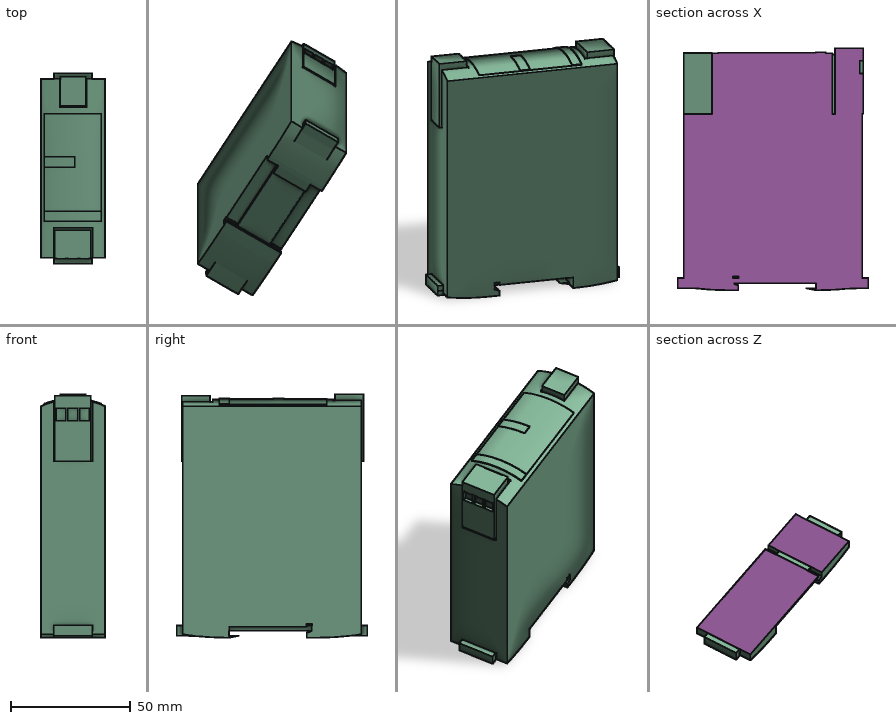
import cadquery as cq
import math

width = 27.0
length = 75.0
height = 102.25
half_width = width / 2
half_length = length / 2

shoulder_z = 97.15
crown_z = 100.05
crown_rise = crown_z - shoulder_z
crown_base_z = shoulder_z / 2
crown_radius = (half_width ** 2 + crown_rise ** 2) / (2 * crown_rise)

foot_rise = 1.5
foot_flat_y = 20.0
notch_back_y = 14.5
notch_front_y = -18.0
notch_ceiling_z = 4.7
undercut_y = 16.7
undercut_top_z = 5.85
undercut_bottom_z = 2.9
lip_z = 2.1

panel_x = (-12.1, 11.9)
panel_y = (-22.2, 23.0)
panel_thickness = 0.15
strip_y = (panel_y[0], -17.95)
plate_x = (panel_x[0], 0.7)
plate_y = (0.55, 4.95)
plate_thickness = 0.4

terminal_bottom_z = 74.0
input_pocket_x = (-8.05, 8.25)
input_pocket_y = (-half_length, -24.9)
input_block_x = (-7.75, 7.5)
input_block_y = (-37.9, -26.0)
input_block_top_z = 101.6
output_pocket_x = (-5.65, 5.75)
output_pocket_y = (25.65, half_length)
output_block_x = (-5.3, 5.45)
output_block_y = (26.35, 38.4)
output_block_top_z = height

opening_count = 3
opening_pitch = 4.9
opening_width = 4.1
opening_bottom_z = 91.0
opening_height = 5.2
opening_depth = 1.5
opening_center_x = -0.1

grip_reach = 40.0
slider_x = (-8.0, 8.0)
slider_z = (2.9, 5.2)
grip_bottom_z = 0.8
grip_step = 0.25
latch_slope_y = -36.0
latch_tip_y = -14.0
slot_clearance = 0.3
slot_depth = 1.0


def box(x_range, y_range, z_range):
    """Axis-aligned box between pairs of limits."""
    size = [high - low for low, high in (x_range, y_range, z_range)]
    return (
        cq.Workplane("XY")
        .box(*size, centered=False)
        .translate((x_range[0], y_range[0], z_range[0]))
    )


def crowned_block(x_range, y_range, offset):
    """Block from inside the housing up to the crown surface raised by offset."""
    radius = crown_radius + offset
    cylinder = (
        cq.Workplane("XZ", origin=(0, y_range[1], crown_z - crown_radius))
        .circle(radius)
        .extrude(y_range[1] - y_range[0])
    )
    return box(x_range, y_range, (crown_base_z, height)).intersect(cylinder)


def extrude_across(profile, x_range):
    """Extrude a closed YZ profile between two X limits."""
    return profile.extrude(x_range[1] - x_range[0]).translate((x_range[0], 0, 0))


def foot_arc_middle(inner_y, outer_y):
    """Point halfway along Y on the arc that leaves the ground level at inner_y and rises to outer_y."""
    run = abs(outer_y - inner_y)
    radius = (run ** 2 + foot_rise ** 2) / (2 * foot_rise)
    middle_z = radius - math.sqrt(radius ** 2 - (run / 2) ** 2)
    return ((inner_y + outer_y) / 2, middle_z)


def make_housing():
    foot_middle_back = foot_arc_middle(foot_flat_y, half_length)
    foot_middle_front = foot_arc_middle(-foot_flat_y, -half_length)
    profile = (
        cq.Workplane("YZ")
        .moveTo(-half_length, shoulder_z)
        .lineTo(-half_length, foot_rise)
        .threePointArc(foot_middle_front, (-foot_flat_y, 0))
        .lineTo(notch_front_y, 0)
        .lineTo(notch_front_y, notch_ceiling_z)
        .lineTo(notch_back_y, notch_ceiling_z)
        .lineTo(notch_back_y, undercut_top_z)
        .lineTo(undercut_y, undercut_top_z)
        .lineTo(undercut_y, undercut_bottom_z)
        .lineTo(notch_back_y, lip_z)
        .lineTo(notch_back_y, 0)
        .lineTo(foot_flat_y, 0)
        .threePointArc(foot_middle_back, (half_length, foot_rise))
        .lineTo(half_length, shoulder_z)
        .close()
    )
    full_width = (-half_width, half_width)
    lower = extrude_across(profile, full_width)
    return lower.union(crowned_block(full_width, (-half_length, half_length), 0))


def add_label_panel(body):
    body = body.union(crowned_block(panel_x, panel_y, panel_thickness))
    body = body.union(crowned_block(panel_x, strip_y, plate_thickness))
    return body.union(crowned_block(plate_x, plate_y, plate_thickness))


def make_input_block():
    block = box(input_block_x, input_block_y, (terminal_bottom_z, input_block_top_z))
    opening_z = (opening_bottom_z, opening_bottom_z + opening_height)
    opening_y = (input_block_y[0], input_block_y[0] + opening_depth)
    for index in range(opening_count):
        center_x = opening_center_x + (index - (opening_count - 1) / 2) * opening_pitch
        opening_x = (center_x - opening_width / 2, center_x + opening_width / 2)
        block = block.cut(box(opening_x, opening_y, opening_z))
    return block


def add_terminals(body):
    pocket_z = (terminal_bottom_z, height)
    output_z = (terminal_bottom_z, output_block_top_z)
    body = body.cut(box(input_pocket_x, input_pocket_y, pocket_z))
    body = body.cut(box(output_pocket_x, output_pocket_y, pocket_z))
    body = body.union(make_input_block())
    return body.union(box(output_block_x, output_block_y, output_z))


def add_rail_slider(body):
    bar = box(slider_x, (notch_front_y, grip_reach), slider_z)
    grip_x = (slider_x[0] + grip_step, slider_x[1])
    grip = box(grip_x, (undercut_y, grip_reach), (grip_bottom_z, slider_z[1]))
    return body.union(bar).union(grip)


def add_latch(body):
    slot_x = (slider_x[0], slider_x[1] + slot_clearance)
    slot_y = (-half_length, -half_length + slot_depth)
    body = body.cut(box(slot_x, slot_y, slider_z))
    profile = (
        cq.Workplane("YZ")
        .moveTo(-grip_reach, slider_z[1])
        .lineTo(-grip_reach, grip_bottom_z)
        .lineTo(latch_slope_y, grip_bottom_z)
        .lineTo(notch_front_y, 0)
        .lineTo(latch_tip_y, grip_bottom_z)
        .lineTo(notch_front_y, grip_bottom_z)
        .lineTo(notch_front_y, slider_z[1])
        .close()
    )
    return body.union(extrude_across(profile, slider_x))


result = make_housing()
result = add_label_panel(result)
result = add_terminals(result)
result = add_rail_slider(result)
result = add_latch(result)